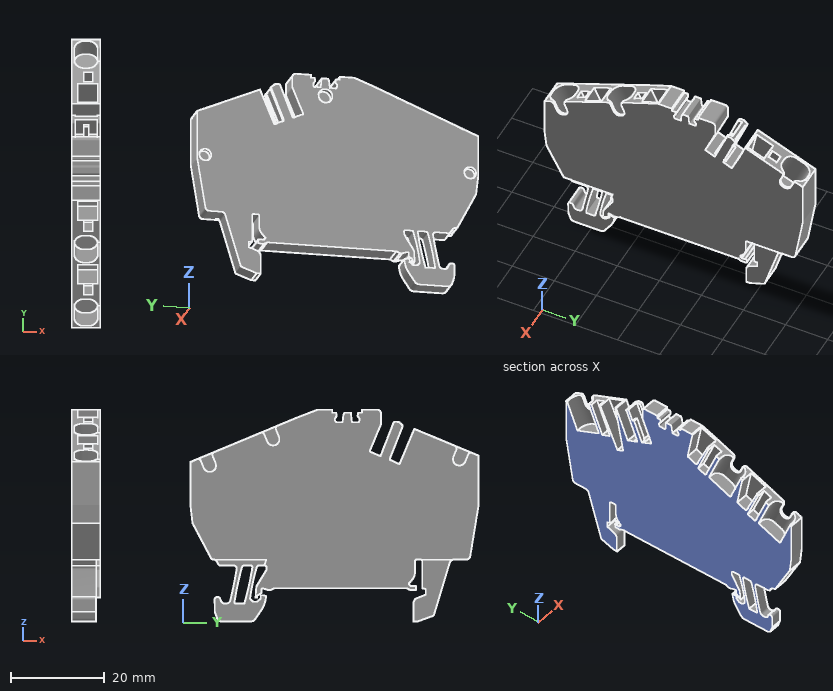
import cadquery as cq
import math


THICKNESS = 6.1
LENGTH = 61.4
HEIGHT = 45.11
HALF_LENGTH = LENGTH / 2
FOOT_THICKNESS = 5.2

SLOPE_ANGLE = 22.6
FRONT_EAVE_Z = 33.97
REAR_EAVE_Z = 35.32
SLOPE_RISE = math.tan(math.radians(SLOPE_ANGLE))
SLOPE_SIN = math.sin(math.radians(SLOPE_ANGLE))
SLOPE_COS = math.cos(math.radians(SLOPE_ANGLE))
FRONT_TOP_Y = -3.6
FRONT_BREAK_Y = -7.74
FRONT_BREAK_Z = FRONT_EAVE_Z + (FRONT_BREAK_Y + HALF_LENGTH) * SLOPE_RISE

END_WALL_FOOT_Z = 24.8
REAR_UNDERSIDE_Z = 13.17
FRONT_UNDERSIDE_Z = 11.89
RAIL_SEAT_Z = 7.05
FOOT_POCKET_Z = 3.88

SLOT_1_REAR_Y = 16.97
FINGER_BASE_Y = 11.74
FINGER_BASE_Z = 34.49
FINGER_FRONT_BASE_Y = 9.77
FINGER_FRONT_BASE_Z = 35.23

GROOVE_LEDGE_Z = 44.49
GROOVE_FLOOR_Z = 42.46

REAR_ROOF = [
    (HALF_LENGTH, END_WALL_FOOT_Z, 0),
    (HALF_LENGTH, REAR_EAVE_Z, 0),
    (SLOT_1_REAR_Y, REAR_EAVE_Z + (HALF_LENGTH - SLOT_1_REAR_Y) * SLOPE_RISE, 0),
]
JUMPER_SLOTS = [
    (13.82, 33.52, 0),
    (FINGER_BASE_Y, FINGER_BASE_Z, 0),
    (14.6, 41.72, 0.2),
    (13.7, 42.5, 0.6),
    (12.65, 42.6, 0.5),
    (FINGER_FRONT_BASE_Y, FINGER_FRONT_BASE_Z, 0),
    (7.5, 36.21, 0),
    (9.92, 42.0, 1.0),
    (9.92, HEIGHT, 0.8),
]
MARKER_GROOVE = [
    (5.84, HEIGHT, 0),
    (5.84, GROOVE_LEDGE_Z, 0),
    (5.04, GROOVE_LEDGE_Z, 0.15),
    (4.87, 43.76, 0.25),
    (5.36, 43.11, 0.2),
    (5.19, GROOVE_FLOOR_Z, 0.15),
    (3.71, GROOVE_FLOOR_Z, 0.15),
    (3.51, GROOVE_LEDGE_Z, 0.15),
    (2.1, GROOVE_LEDGE_Z, 0.15),
    (1.85, 43.9, 0),
    (1.69, GROOVE_FLOOR_Z, 0),
    (0.3, GROOVE_FLOOR_Z, 0.2),
    (0.03, 43.05, 0.2),
    (0.48, 43.76, 0.25),
    (0.37, GROOVE_LEDGE_Z, 0.15),
    (-0.47, GROOVE_LEDGE_Z, 0),
    (-0.47, HEIGHT, 0),
]
FRONT_END = [
    (FRONT_TOP_Y, HEIGHT, 0),
    (FRONT_BREAK_Y, FRONT_BREAK_Z, 0),
    (-HALF_LENGTH, FRONT_EAVE_Z, 0),
    (-HALF_LENGTH, END_WALL_FOOT_Z, 0),
    (-30.25, 20.95, 0),
    (-26.15, 13.2, 0.4),
    (-25.3, 13.2, 0.9),
    (-24.6, FRONT_UNDERSIDE_Z, 0.6),
    (-20.72, FRONT_UNDERSIDE_Z, 0.6),
]
FRONT_FOOT = [
    (-21.45, 7.7, 105.0),
    (-22.35, FOOT_POCKET_Z, 0.8),
    (-23.95, FOOT_POCKET_Z, 0.7),
    (-24.45, 5.23, 0.6),
    (-25.57, 5.23, 0.6),
    (-25.5, 2.05, 0),
    (-24.75, 0, 1.0),
    (-17.2, 0, 1.2),
    (-14.9, 3.4, 5.0),
    (-14.5, 5.4, 0),
    (-15.0, 5.6, 0),
    (-15.7, 5.6, 0),
    (-15.7, 4.92, 0),
    (-16.5, 4.22, 0.3),
    (-17.3, 4.22, 0.4),
    (-17.95, 4.85, 0.2),
    (-17.6, 7.5, 38.0),
    (-16.45, FRONT_UNDERSIDE_Z, 0.4),
    (-14.5, FRONT_UNDERSIDE_Z, 0.3),
    (-14.5, 11.0, 0.3),
    (-16.68, 7.4, 1.0),
    (-16.83, 5.1, 0),
    (-16.39, 5.1, 0),
    (-16.39, 5.49, 0),
    (-15.53, 6.09, 0),
    (-15.53, RAIL_SEAT_Z, 0.2),
]
RAIL_SEAT = [
    (-14.9, 6.95, 0),
    (-14.1, 6.68, 0),
    (-13.6, 6.68, 0),
    (-12.8, RAIL_SEAT_Z, 0),
    (15.4, RAIL_SEAT_Z, 0),
    (16.1, 6.68, 0),
    (17.4, 6.68, 0.2),
    (17.4, 7.82, 0.25),
    (16.95, 7.6, 0),
    (16.2, 7.6, 0),
    (15.78, 8.0, 0),
]
REAR_FOOT = [
    (17.15, 9.6, 2.5),
    (17.15, REAR_UNDERSIDE_Z, 0.3),
    (18.66, REAR_UNDERSIDE_Z, 0.3),
    (18.66, RAIL_SEAT_Z, 0),
    (19.4, 6.9, 0),
    (19.4, 5.74, 0),
    (16.79, 4.7, 1.2),
    (16.79, 0, 0),
    (17.71, 0, 0),
    (21.15, 1.25, 0.5),
    (24.75, REAR_UNDERSIDE_Z, 0.9),
    (28.8, REAR_UNDERSIDE_Z, 0.9),
]
HOUSING_OUTLINE = (
    REAR_ROOF + JUMPER_SLOTS + MARKER_GROOVE + FRONT_END + FRONT_FOOT + RAIL_SEAT + REAR_FOOT
)

FOOT_WINDOW = [
    (-17.45, FRONT_UNDERSIDE_Z, 0.3),
    (-19.6, FRONT_UNDERSIDE_Z, 0.5),
    (-20.75, 7.5, 60.0),
    (-21.3, FOOT_POCKET_Z, 0.2),
    (-19.2, FOOT_POCKET_Z, 0),
    (-18.15, 7.6, 60.0),
]

FRONT_FOOT_ZONE = [
    (-14.5, REAR_UNDERSIDE_Z, 0),
    (-15.4, 10.8, 0),
    (-17.1, 8.0, 0),
    (-17.4, 4.7, 0),
    (-16.4, 4.6, 0),
    (-15.6, 5.85, 0),
    (-14.0, 6.2, 0),
    (-14.0, 0, 0),
    (-HALF_LENGTH, 0, 0),
    (-HALF_LENGTH, REAR_UNDERSIDE_Z, 0),
]
REAR_FOOT_ZONE = [
    (18.0, REAR_UNDERSIDE_Z, 0),
    (HALF_LENGTH, REAR_UNDERSIDE_Z, 0),
    (HALF_LENGTH, 0, 0),
    (16.5, 0, 0),
    (16.5, 5.8, 0),
    (18.0, 5.8, 0),
]

SIDE_HOLES = [
    (2.67, 40.61, 3.0, 2.0),
    (28.94, 25.67, 2.55, 1.6),
    (-28.94, 25.67, 2.55, 1.6),
]

OUTER_TERMINAL_Y = 27.45
TERMINAL_PITCH = 13.5
WIRE_ENTRY_WIDTH = 5.1
WIRE_ENTRY_LENGTH = 6.2
WIRE_ENTRY_RADIUS = 2.05
WIRE_ENTRY_DEPTH = 7.3
WIRE_NOTCH_RADIUS = 1.35
WIRE_NOTCH_DEPTH = 3.65
WIRE_NOTCH_LIP_RADIUS = 0.7
TOOL_OPENING = (3.42, 4.3, 8.15, 3.95, 25.0, 11.0)
TEST_OPENING = (3.52, 1.9, 4.75, 1.95, SLOPE_ANGLE, SLOPE_ANGLE)
FRONT_TOOL_DROP = 6.4
REAR_TOOL_DROP = 10.0
TEST_DROP = 7.0
OVERCUT = 0.3

RECESS_X = (0.76, 5.4)
FRONT_RECESS_DEPTH = 0.75
REAR_RECESS_DEPTH = 0.45
RIB_X = (2.57, 3.6)
RIB_HEIGHT = 0.5
RIB_LENGTH = 5.4
RECESS_LENGTH = 9.5
RECESS_CLEARANCE = 0.4


def rounded_wire(points):
    """Closed wire in the YZ plane through (y, z, radius) corners, with tangent corner arcs."""
    stretches = []
    for index, (y, z, radius) in enumerate(points):
        corner = cq.Vector(y, z)
        if radius == 0:
            stretches.append((corner,))
            continue
        before = points[index - 1]
        after = points[(index + 1) % len(points)]
        to_before = (cq.Vector(before[0], before[1]) - corner).normalized()
        to_after = (cq.Vector(after[0], after[1]) - corner).normalized()
        half_angle = to_before.getAngle(to_after) / 2
        setback = radius / math.tan(half_angle)
        bisector = (to_before + to_after).normalized()
        middle = corner + bisector * (radius / math.sin(half_angle) - radius)
        stretches.append((corner + to_before * setback, middle, corner + to_after * setback))

    sketch = cq.Workplane("YZ").moveTo(stretches[0][0].x, stretches[0][0].y)
    for index, stretch in enumerate(stretches):
        if index > 0:
            sketch = sketch.lineTo(stretch[0].x, stretch[0].y)
        if len(stretch) > 1:
            sketch = sketch.threePointArc(stretch[1].toTuple()[:2], stretch[2].toTuple()[:2])
    return sketch.close()


def plate(points, x_start, x_end):
    """Plate with the given YZ outline between two X positions."""
    return rounded_wire(points).extrude(x_end - x_start).translate((x_start, 0, 0))


def front_slope_z(y):
    """Height of the front slope at a given Y."""
    return FRONT_EAVE_Z + (y + HALF_LENGTH) * SLOPE_RISE


def square_opening(wire_y, opening, drop):
    """Square opening in the front slope with leaning walls and a floor along the slope."""
    x_center, x_width, y_offset, y_length, low_lean, high_lean = opening
    low_run = math.tan(math.radians(low_lean))
    high_run = math.tan(math.radians(high_lean))
    y_low = wire_y + y_offset - y_length / 2
    y_high = y_low + y_length
    z_low = front_slope_z(y_low)
    z_high = front_slope_z(y_high)
    y_floor = y_low + drop * low_run
    z_floor = z_low - drop
    floor_below_y_high = z_floor + (y_high - y_floor) * SLOPE_RISE
    high_drop = (z_high - floor_below_y_high) / (1 + high_run * SLOPE_RISE)
    side = [
        (y_low - OVERCUT * low_run, z_low + OVERCUT, 0),
        (y_high - OVERCUT * high_run, z_high + OVERCUT, 0),
        (y_high + high_drop * high_run, z_high - high_drop, 0),
        (y_floor, z_floor, 0),
    ]
    return plate(side, x_center - x_width / 2, x_center + x_width / 2)


def wire_notch(wire_y):
    """U-shaped notch with rounded lips through the +X wall, square to the front slope."""
    lip_y = WIRE_NOTCH_RADIUS + WIRE_NOTCH_LIP_RADIUS
    lip_middle = lip_y - WIRE_NOTCH_LIP_RADIUS * math.sqrt(0.5)
    lip_middle_z = WIRE_NOTCH_LIP_RADIUS * (math.sqrt(0.5) - 1)
    wall_bottom = WIRE_NOTCH_RADIUS - WIRE_NOTCH_DEPTH
    plane = cq.Plane(
        origin=(THICKNESS / 2, wire_y, front_slope_z(wire_y)),
        xDir=(0, SLOPE_COS, SLOPE_SIN),
        normal=(1, 0, 0),
    )
    return (
        cq.Workplane(plane)
        .moveTo(-lip_y, 0)
        .threePointArc((-lip_middle, lip_middle_z), (-WIRE_NOTCH_RADIUS, -WIRE_NOTCH_LIP_RADIUS))
        .lineTo(-WIRE_NOTCH_RADIUS, wall_bottom)
        .threePointArc((0, -WIRE_NOTCH_DEPTH), (WIRE_NOTCH_RADIUS, wall_bottom))
        .lineTo(WIRE_NOTCH_RADIUS, -WIRE_NOTCH_LIP_RADIUS)
        .threePointArc((lip_middle, lip_middle_z), (lip_y, 0))
        .close()
        .extrude(THICKNESS / 2)
    )


def wire_entry(wire_y):
    """Rounded wire pocket square to the front slope."""
    slope_plane = cq.Plane(
        origin=(THICKNESS / 2, wire_y, front_slope_z(wire_y)),
        xDir=(1, 0, 0),
        normal=(0, -SLOPE_SIN, SLOPE_COS),
    )
    return (
        cq.Workplane(slope_plane)
        .rect(WIRE_ENTRY_WIDTH, WIRE_ENTRY_LENGTH)
        .extrude(-WIRE_ENTRY_DEPTH)
        .edges(cq.selectors.ParallelDirSelector(slope_plane.zDir))
        .fillet(WIRE_ENTRY_RADIUS)
    )


def terminal(wire_y, tool_drop):
    """Everything cut into the front slope for one terminal."""
    return (
        wire_entry(wire_y)
        .union(wire_notch(wire_y))
        .union(square_opening(wire_y, TOOL_OPENING, tool_drop))
        .union(square_opening(wire_y, TEST_OPENING, TEST_DROP))
    )


def finger_strip(x_range, depth_from, depth_to, length):
    """Strip running up along the finger, between two depths measured from its front base corner."""
    return (
        cq.Workplane("XY")
        .box(x_range[1] - x_range[0], depth_to - depth_from, length, centered=False)
        .translate((x_range[0], depth_from, 0))
        .rotate((0, 0, 0), (1, 0, 0), -SLOPE_ANGLE)
        .translate((0, FINGER_FRONT_BASE_Y, FINGER_FRONT_BASE_Z))
    )


def finger_recesses():
    """Both recesses in the finger, with the rib left standing in the front one."""
    finger_width = math.hypot(
        FINGER_BASE_Y - FINGER_FRONT_BASE_Y, FINGER_BASE_Z - FINGER_FRONT_BASE_Z
    )
    front_recess = finger_strip(RECESS_X, -RECESS_CLEARANCE, FRONT_RECESS_DEPTH, RECESS_LENGTH)
    rib = finger_strip(RIB_X, FRONT_RECESS_DEPTH - RIB_HEIGHT, FRONT_RECESS_DEPTH, RIB_LENGTH)
    rear_recess = finger_strip(
        RECESS_X,
        finger_width - REAR_RECESS_DEPTH,
        finger_width + RECESS_CLEARANCE,
        RECESS_LENGTH,
    )
    return front_recess.cut(rib).union(rear_recess)


def side_holes():
    """The blind holes in the -X face."""
    holes = cq.Workplane("YZ")
    for y, z, diameter, depth in SIDE_HOLES:
        hole = cq.Workplane("YZ").center(y, z).circle(diameter / 2).extrude(depth)
        holes = holes.add(hole)
    return holes.combine()


housing = plate(HOUSING_OUTLINE, 0, THICKNESS)
housing = housing.cut(plate(FOOT_WINDOW, 0, THICKNESS))
for foot_zone in (FRONT_FOOT_ZONE, REAR_FOOT_ZONE):
    housing = housing.cut(plate(foot_zone, FOOT_THICKNESS, THICKNESS))

housing = housing.cut(side_holes())
housing = housing.cut(finger_recesses())

inner_terminal_y = TERMINAL_PITCH - OUTER_TERMINAL_Y
eave_step = REAR_EAVE_Z - FRONT_EAVE_Z
rear_terminal = terminal(-OUTER_TERMINAL_Y, REAR_TOOL_DROP).mirror("XZ").translate((0, 0, eave_step))
housing = housing.cut(terminal(-OUTER_TERMINAL_Y, FRONT_TOOL_DROP))
housing = housing.cut(terminal(inner_terminal_y, FRONT_TOOL_DROP))
housing = housing.cut(rear_terminal)

result = housing